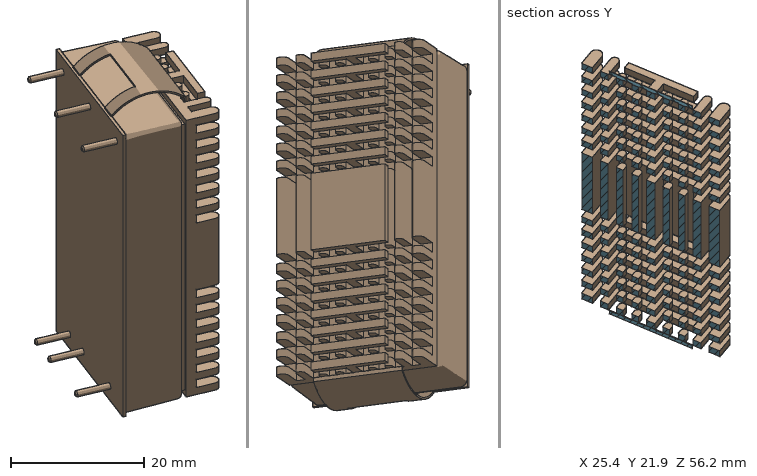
import cadquery as cq
import math


flange_width = 25.4
flange_length = 50.8
flange_thickness = 0.55
case_inset = 0.1
case_top = 10.05
case_taper = 1.3
case_corner_radius = 1.0
case_rounding = 0.85
pin_diameter = 1.0
pin_length = 5.6
pin_tip_chamfer = 0.2
pin_row_z = 22.85
upper_pin_x = (-10.15, 0, 10.15)
lower_pin_x = (-7.65, -2.55, 7.65)

pad_width = 23.15
pad_length = 48.0
pad_thickness = 0.55

sink_width = 24.15
sink_length = 49.9
sink_bottom = case_top + pad_thickness
sink_floor = 12.3
sink_top = 16.3
outer_fin_width = 1.9
inner_fin_width = 1.4
inner_fin_center = 8.1
small_fin_width = 1.25
small_fin_top = 13.95
small_fin_centers = (2.7, 5.4)
tee_width = 12.1
tee_thickness = 1.25
tee_stem_width = 1.5
slot_count = 7
slot_width = 1.45
slot_pitch = 2.7
solid_middle_length = 12.0

clip_width = 14.5
clip_thickness = 0.3
clip_reach = 28.1
clip_lip_top = 12.7
clip_arc_radius = 8.6
clip_arc_center_y = 6.65
clip_window_width = 9.55
clip_window_top = 5.45


def slab(width, length, y_bottom, y_top, z_center=0):
    """Box centred on X = 0 and on the given Z, between two Y levels."""
    height = y_top - y_bottom
    return cq.Workplane("XY").box(width, height, length).translate(
        (0, (y_bottom + y_top) / 2, z_center)
    )


def make_pin(x, z):
    """Round pin with a chamfered tip, pointing to -Y."""
    return (
        cq.Workplane("XZ", origin=(x, 0, z))
        .circle(pin_diameter / 2)
        .extrude(pin_length)
        .faces("<Y")
        .chamfer(pin_tip_chamfer)
    )


def make_converter():
    """Flange, tapered case with rounded edges, and two rows of pins as one solid."""
    flange = slab(flange_width, flange_length, 0, flange_thickness)
    case = (
        cq.Workplane("XZ", origin=(0, flange_thickness, 0))
        .sketch()
        .rect(flange_width - 2 * case_inset, flange_length - 2 * case_inset)
        .vertices()
        .fillet(case_corner_radius)
        .finalize()
        .extrude(flange_thickness - case_top, taper=case_taper)
        .faces(">Y")
        .edges()
        .fillet(case_rounding)
    )
    converter = flange.union(case)
    for x in upper_pin_x:
        converter = converter.union(make_pin(x, pin_row_z))
    for x in lower_pin_x:
        converter = converter.union(make_pin(x, -pin_row_z))
    return converter


def make_thermal_pad():
    """Thin plate filling the gap between case and heat sink."""
    return slab(pad_width, pad_length, case_top, sink_bottom)


def round_fin(x_center, width, y_top):
    """Full-length fin with a half-round crest, standing on the heat sink floor."""
    radius = width / 2
    return (
        cq.Workplane("XY", origin=(x_center, 0, -sink_length / 2))
        .moveTo(-radius, sink_bottom)
        .lineTo(-radius, y_top - radius)
        .threePointArc((0, y_top), (radius, y_top - radius))
        .lineTo(radius, sink_bottom)
        .close()
        .extrude(sink_length)
    )


def make_heat_sink():
    """Base plate with rounded fins and a central T rail, all cut across by slots."""
    sink = slab(sink_width, sink_length, sink_bottom, sink_floor)
    outer_fin_center = (sink_width - outer_fin_width) / 2
    for side in (-1, 1):
        sink = sink.union(round_fin(side * outer_fin_center, outer_fin_width, sink_top))
        sink = sink.union(round_fin(side * inner_fin_center, inner_fin_width, sink_top))
        for center in small_fin_centers:
            sink = sink.union(round_fin(side * center, small_fin_width, small_fin_top))

    sink = sink.union(slab(tee_stem_width, sink_length, sink_bottom, sink_top))
    sink = sink.union(slab(tee_width, sink_length, sink_top - tee_thickness, sink_top))

    for side in (-1, 1):
        for index in range(slot_count):
            slot_z = side * ((solid_middle_length + slot_width) / 2 + index * slot_pitch)
            sink = sink.cut(slab(sink_width, slot_width, sink_floor, sink_top, z_center=slot_z))
    return sink


def make_clip(side):
    """Bowed spring strip from the heat sink end to the flange end, at the +Z (1) or -Z (-1) side."""
    center_z = clip_reach - clip_arc_radius
    inner_radius = clip_arc_radius - clip_thickness
    lip_inner = clip_lip_top - clip_thickness
    sink_end = sink_length / 2
    flange_end = flange_length / 2

    def arc_z(radius, y):
        return center_z + math.sqrt(radius**2 - (y - clip_arc_center_y) ** 2)

    def foot_y(radius):
        return clip_arc_center_y - math.sqrt(radius**2 - (flange_end - center_z) ** 2)

    strip = (
        cq.Workplane("YZ", origin=(-clip_width / 2, 0, 0))
        .moveTo(clip_lip_top, sink_end)
        .lineTo(clip_lip_top, arc_z(clip_arc_radius, clip_lip_top))
        .threePointArc((clip_arc_center_y, clip_reach), (foot_y(clip_arc_radius), flange_end))
        .lineTo(foot_y(inner_radius), flange_end)
        .threePointArc(
            (clip_arc_center_y, center_z + inner_radius),
            (lip_inner, arc_z(inner_radius, lip_inner)),
        )
        .lineTo(lip_inner, sink_end)
        .close()
        .extrude(clip_width)
    )
    window = slab(clip_window_width, 2 * clip_reach, 0, clip_window_top)
    clip = strip.cut(window)
    return clip if side > 0 else clip.mirror("XY")


converter = make_converter()
thermal_pad = make_thermal_pad()
heat_sink = make_heat_sink()
clips = [make_clip(side) for side in (1, -1)]

result = cq.Compound.makeCompound(
    [
        converter.val(),
        thermal_pad.val(),
        heat_sink.val(),
        *[clip.val() for clip in clips],
    ]
)